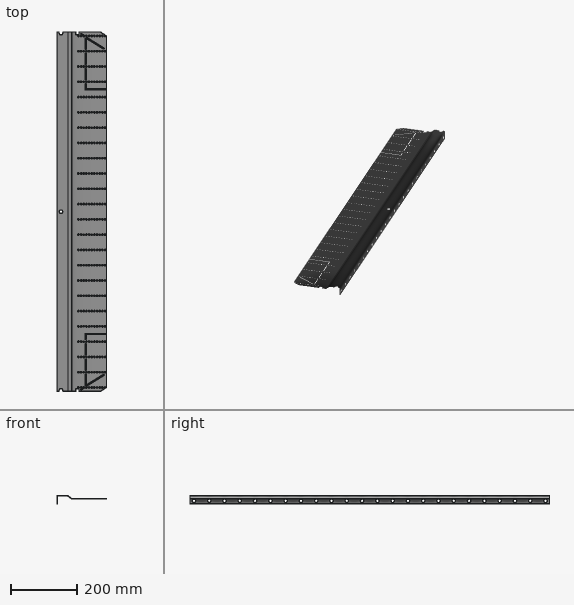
import cadquery as cq
import math

WIDTH = 150.0
LENGTH = 1082.0
HEIGHT = 25.0
HALF_LENGTH = LENGTH / 2

THICKNESS = 1.5
BEND_INNER_RADIUS = 0.5
BEND_OUTER_RADIUS = BEND_INNER_RADIUS + THICKNESS
RAMP_START_X = 33.5
RAMP_DROP = 9.0
RAMP_ANGLE = 37.5
RAMP_END_X = RAMP_START_X + RAMP_DROP / math.tan(math.radians(RAMP_ANGLE))
PLATE_TOP = HEIGHT - RAMP_DROP

PITCH = 46.0
PATTERN_COUNT = 24

HOLE_DIAMETER = 10.0
FLANGE_HOLE_Z = 9.2
STRIP_HOLE_X = 12.5

PERFORATION_DIAMETER = 4.0
PERFORATION_PITCH = 8.0
PERFORATION_START_X = 65.0
PERFORATION_COUNT = 11

SLIT_WIDTH = 3.0
LONG_SLIT_X = 86.4
CROSS_SLIT_Y = 8 * PITCH
SLIT_BRIDGE = 13.0
DIAGONAL_START = (89.5, 523.0)
DIAGONAL_END = (142.0, 490.5)
RELIEF_SLIT_WIDTH = 1.0
RELIEF_SLIT_START = (72.2, 535.7)
RELIEF_SLIT_END = (79.5, 532.2)

END_NOTCH_DEPTH = 8.0
PLATE_NOTCH_X = 57.0
PLATE_NOTCH_WIDTH = 9.5
STRIP_NOTCH_X = STRIP_HOLE_X
STRIP_NOTCH_BOTTOM_WIDTH = 7.0
STRIP_NOTCH_MOUTH_WIDTH = 13.0
CORNER_CUT_X = 18.5
CORNER_CUT_Y = 12.5


def pattern_positions():
    """Y of every repeat, centred on the middle of the part."""
    first = -(PATTERN_COUNT - 1) * PITCH / 2
    return [first + i * PITCH for i in range(PATTERN_COUNT)]


def bent_sheet():
    """Flange, top strip, ramp and lower plate as one extruded section."""
    miter = THICKNESS * math.tan(math.radians(RAMP_ANGLE / 2))
    strip_under = HEIGHT - THICKNESS
    bend_z = HEIGHT - BEND_OUTER_RADIUS
    diagonal = math.cos(math.radians(45))
    outer_mid = (
        BEND_OUTER_RADIUS * (1 - diagonal),
        bend_z + BEND_OUTER_RADIUS * diagonal,
    )
    inner_mid = (
        BEND_OUTER_RADIUS - BEND_INNER_RADIUS * diagonal,
        bend_z + BEND_INNER_RADIUS * diagonal,
    )
    return (
        cq.Workplane("XZ", origin=(0, HALF_LENGTH, 0))
        .moveTo(0, 0)
        .lineTo(0, bend_z)
        .threePointArc(outer_mid, (BEND_OUTER_RADIUS, HEIGHT))
        .lineTo(RAMP_START_X, HEIGHT)
        .lineTo(RAMP_END_X, PLATE_TOP)
        .lineTo(WIDTH, PLATE_TOP)
        .lineTo(WIDTH, PLATE_TOP - THICKNESS)
        .lineTo(RAMP_END_X - miter, PLATE_TOP - THICKNESS)
        .lineTo(RAMP_START_X - miter, strip_under)
        .lineTo(BEND_OUTER_RADIUS, strip_under)
        .threePointArc(inner_mid, (THICKNESS, bend_z))
        .lineTo(THICKNESS, 0)
        .close()
        .extrude(LENGTH)
    )


def flange_holes():
    """Row of round holes through the flange."""
    return (
        cq.Workplane("YZ")
        .pushPoints([(y, FLANGE_HOLE_Z) for y in pattern_positions()])
        .circle(HOLE_DIAMETER / 2)
        .extrude(BEND_OUTER_RADIUS)
    )


def strip_cutter():
    """Workplane under the top strip."""
    return cq.Workplane("XY", origin=(0, 0, HEIGHT - THICKNESS))


def strip_hole():
    """Single hole at mid length of the top strip."""
    return strip_cutter().center(STRIP_HOLE_X, 0).circle(HOLE_DIAMETER / 2).extrude(THICKNESS)


def plate_cutter():
    """Workplane under the lower plate."""
    return cq.Workplane("XY", origin=(0, 0, PLATE_TOP - THICKNESS))


def perforations():
    """Rows of small holes across the lower plate, one row per repeat."""
    columns = [PERFORATION_START_X + i * PERFORATION_PITCH for i in range(PERFORATION_COUNT)]
    return (
        plate_cutter()
        .pushPoints([(x, y) for x in columns for y in pattern_positions()])
        .circle(PERFORATION_DIAMETER / 2)
        .extrude(THICKNESS)
    )


def slit(start, end, width):
    """Straight square-ended slit between two points of the plate."""
    run = end[0] - start[0]
    rise = end[1] - start[1]
    return (
        plate_cutter()
        .center((start[0] + end[0]) / 2, (start[1] + end[1]) / 2)
        .transformed(rotate=(0, 0, math.degrees(math.atan2(rise, run))))
        .rect(math.hypot(run, rise), width)
        .extrude(THICKNESS)
    )


def end_slits():
    """Slits at the +Y end: one across, one diagonal, one relief and a bridged one along Y."""
    slits = [
        slit((LONG_SLIT_X - SLIT_WIDTH / 2, CROSS_SLIT_Y), (WIDTH, CROSS_SLIT_Y), SLIT_WIDTH),
        slit(DIAGONAL_START, DIAGONAL_END, SLIT_WIDTH),
        slit(RELIEF_SLIT_START, RELIEF_SLIT_END, RELIEF_SLIT_WIDTH),
    ]
    crossed_lines = [y for y in pattern_positions() if y > CROSS_SLIT_Y]
    start_y = CROSS_SLIT_Y
    for line_y in crossed_lines:
        end_y = line_y - SLIT_BRIDGE / 2
        slits.append(slit((LONG_SLIT_X, start_y), (LONG_SLIT_X, end_y), SLIT_WIDTH))
        start_y = line_y + SLIT_BRIDGE / 2
    return slits


def strip_notch():
    """Flared notch in the +Y end of the top strip."""
    bottom_y = HALF_LENGTH - END_NOTCH_DEPTH
    half_bottom = STRIP_NOTCH_BOTTOM_WIDTH / 2
    half_mouth = STRIP_NOTCH_MOUTH_WIDTH / 2
    return (
        strip_cutter()
        .moveTo(STRIP_NOTCH_X - half_bottom, bottom_y)
        .lineTo(STRIP_NOTCH_X + half_bottom, bottom_y)
        .lineTo(STRIP_NOTCH_X + half_mouth, HALF_LENGTH)
        .lineTo(STRIP_NOTCH_X - half_mouth, HALF_LENGTH)
        .close()
        .extrude(THICKNESS)
    )


def plate_notch():
    """Rectangular notch in the +Y end of the lower plate."""
    return (
        plate_cutter()
        .center(PLATE_NOTCH_X + PLATE_NOTCH_WIDTH / 2, HALF_LENGTH)
        .rect(PLATE_NOTCH_WIDTH, 2 * END_NOTCH_DEPTH)
        .extrude(THICKNESS)
    )


def plate_corner():
    """Sloped cut of the +X, +Y corner of the lower plate."""
    return (
        plate_cutter()
        .moveTo(WIDTH, HALF_LENGTH)
        .lineTo(WIDTH - CORNER_CUT_X, HALF_LENGTH)
        .lineTo(WIDTH, HALF_LENGTH - CORNER_CUT_Y)
        .close()
        .extrude(THICKNESS)
    )


result = bent_sheet().cut(flange_holes()).cut(strip_hole()).cut(perforations())

for end_cut in end_slits() + [strip_notch(), plate_notch(), plate_corner()]:
    result = result.cut(end_cut).cut(end_cut.mirror("XZ"))